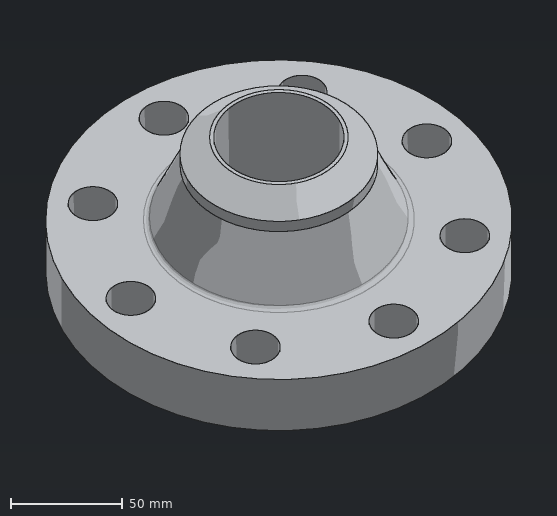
import cadquery as cq
import math

flange_diameter = 209.5
flange_thickness = 31.6
face_diameter = 127.0
face_height = 6.3
overall_height = 88.8

hub_base_diameter = 117.7
pipe_diameter = 88.8
pipe_land_height = 6.3
hub_fillet_radius = 3.0
bore_diameter = 58.5
root_land = 1.9
bevel_angle = 37.5

bolt_count = 8
bolt_circle_diameter = 168.2
bolt_hole_diameter = 22.2

flange_radius = flange_diameter / 2
pipe_radius = pipe_diameter / 2
bevel_top_radius = bore_diameter / 2 + root_land
bevel_height = (pipe_radius - bevel_top_radius) * math.tan(math.radians(bevel_angle))
flange_top = face_height + flange_thickness
bevel_base = overall_height - bevel_height
taper_top = bevel_base - pipe_land_height


def make_flange():
    """Round plate with the raised sealing face below it."""
    face = cq.Workplane("XY").circle(face_diameter / 2).extrude(face_height)
    plate = cq.Workplane("XY").workplane(offset=face_height).circle(flange_radius).extrude(flange_thickness)
    return face.union(plate)


def make_hub():
    """Taper, short pipe land and welding bevel, revolved about Z."""
    return (
        cq.Workplane("XZ")
        .moveTo(0, flange_top)
        .lineTo(hub_base_diameter / 2, flange_top)
        .lineTo(pipe_radius, taper_top)
        .lineTo(pipe_radius, bevel_base)
        .lineTo(bevel_top_radius, overall_height)
        .lineTo(0, overall_height)
        .close()
        .revolve(360, (0, 0, 0), (0, 1, 0))
    )


def make_bore():
    return cq.Workplane("XY").circle(bore_diameter / 2).extrude(overall_height)


def make_bolt_holes():
    """Through holes on the bolt circle, the first one on +X."""
    return (
        cq.Workplane("XY")
        .polarArray(bolt_circle_diameter / 2, 0, 360, bolt_count)
        .circle(bolt_hole_diameter / 2)
        .extrude(flange_top)
    )


body = make_flange().union(make_hub())

plate_top = body.faces("+Z").faces("<Z")
body = plate_top.edges(cq.selectors.RadiusNthSelector(0)).fillet(hub_fillet_radius)

result = body.cut(make_bore()).cut(make_bolt_holes())